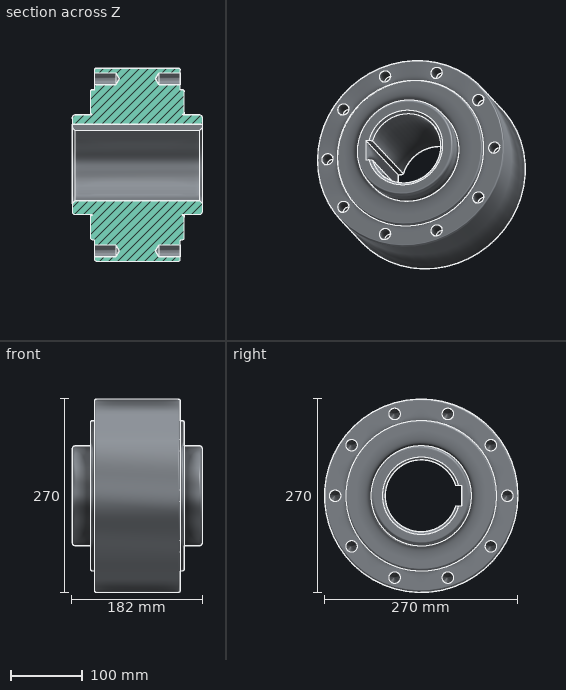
import cadquery as cq
import math


HUB_LENGTH = 182.0
HUB_RADIUS = 70.0
HUB_EDGE_RADIUS = 5.0
BORE_RADIUS = 50.0
BORE_CHAMFER = 4.0

KEYWAY_WIDTH = 28.0
KEYWAY_DEPTH = 6.4

COVER_SPAN = 131.0
COVER_RADIUS = 105.0
COVER_EDGE_RADIUS = 3.0
COVER_BORE_EDGE_RADIUS = 3.0

RING_WIDTH = 120.0
RING_RADIUS = 135.0
RING_EDGE_RADIUS = 3.0

HOLE_COUNT = 10
HOLE_CIRCLE_RADIUS = 120.0
HOLE_RADIUS = 8.0
HOLE_DEPTH = 30.0
DRILL_POINT_ANGLE = 118.0


def disc(width, radius, edge_radius):
    """Solid disc centred on the origin, with both rims rounded."""
    blank = cq.Workplane("YZ", origin=(-width / 2, 0, 0)).circle(radius).extrude(width)
    return blank.edges().fillet(edge_radius)


def hub_groove():
    """Ring left between the hub and the rounded bore edge of the +X cover."""
    face = COVER_SPAN / 2
    size = COVER_BORE_EDGE_RADIUS
    arc_offset = size * (1 - math.sqrt(0.5))
    profile = (
        cq.Workplane("XY")
        .moveTo(face, HUB_RADIUS)
        .lineTo(face, HUB_RADIUS + size)
        .threePointArc(
            (face - arc_offset, HUB_RADIUS + arc_offset),
            (face - size, HUB_RADIUS),
        )
        .close()
    )
    return profile.revolve(360, (0, 0, 0), (1, 0, 0))


def bore():
    """Through bore with a chamfer widening it at each end."""
    end = HUB_LENGTH / 2
    wide_radius = BORE_RADIUS + BORE_CHAMFER
    profile = cq.Workplane("XY").polyline([
        (-end, 0),
        (-end, wide_radius),
        (-end + BORE_CHAMFER, BORE_RADIUS),
        (end - BORE_CHAMFER, BORE_RADIUS),
        (end, wide_radius),
        (end, 0),
    ]).close()
    return profile.revolve(360, (0, 0, 0), (1, 0, 0))


def keyway():
    """Rectangular slot along the whole bore, from the axis to the keyway floor."""
    return cq.Workplane("XY").box(
        HUB_LENGTH,
        BORE_RADIUS + KEYWAY_DEPTH,
        KEYWAY_WIDTH,
        centered=(True, False, True),
    )


def bolt_hole():
    """Drilled hole with a conical bottom, in the +X ring face on the +Y side."""
    face = RING_WIDTH / 2
    bottom = face - HOLE_DEPTH
    point_length = HOLE_RADIUS / math.tan(math.radians(DRILL_POINT_ANGLE / 2))
    rim = HOLE_CIRCLE_RADIUS + HOLE_RADIUS
    profile = cq.Workplane("XY").polyline([
        (face, HOLE_CIRCLE_RADIUS),
        (face, rim),
        (bottom, rim),
        (bottom - point_length, HOLE_CIRCLE_RADIUS),
    ]).close()
    return profile.revolve(360, (0, HOLE_CIRCLE_RADIUS, 0), (1, HOLE_CIRCLE_RADIUS, 0))


def cut_on_both_sides(body, tool):
    """Cut the tool and its mirror image on the -X side."""
    return body.cut(tool).cut(tool.mirror("YZ"))


covers = disc(COVER_SPAN, COVER_RADIUS, COVER_EDGE_RADIUS)
ring = disc(RING_WIDTH, RING_RADIUS, RING_EDGE_RADIUS)
hub = disc(HUB_LENGTH, HUB_RADIUS, HUB_EDGE_RADIUS)

result = ring.union(covers).union(hub)
result = cut_on_both_sides(result, hub_groove())
result = result.cut(bore()).cut(keyway())

hole = bolt_hole()
for index in range(HOLE_COUNT):
    angle = index * 360 / HOLE_COUNT
    result = cut_on_both_sides(result, hole.rotate((0, 0, 0), (1, 0, 0), angle))